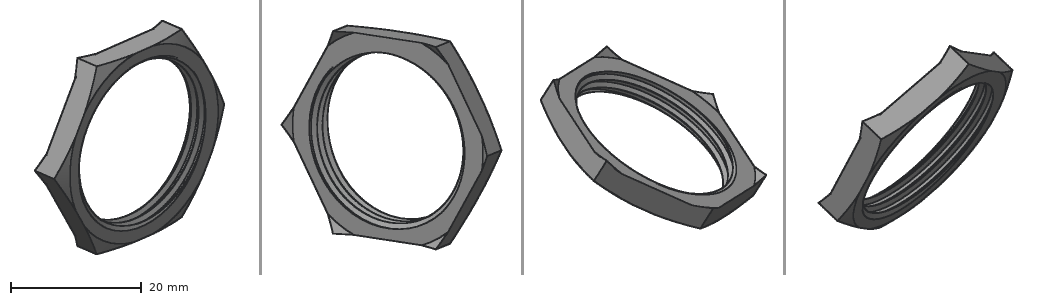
import cadquery as cq
import math

corner_diameter = 36.95
overall_thickness = 5.25

tooth_height = 1.05
tooth_root_radius = 17.1

rear_chamfer_depth = 1.05
rear_face_radius = 16.1

bore_radius = 13.38
thread_depth = 0.78
thread_pitch = 1.6
groove_mouth_width = 1.5
groove_root_width = 0.6
groove_start_angle = -66.0
bore_overlap = 0.05
bore_end_margin = 1.85
bore_seam_angle = 100.0

corner_radius = corner_diameter / 2


def hexagon_blank():
    """Hexagonal prism with two corners on the Y axis."""
    return cq.Workplane("YZ").polygon(6, corner_diameter).extrude(overall_thickness)


def turned_envelope():
    """Solid of revolution that limits the blank: hollow front cone and rear chamfer."""
    profile = [
        (tooth_height, 0),
        (tooth_height, tooth_root_radius),
        (0, corner_radius),
        (overall_thickness - rear_chamfer_depth, corner_radius),
        (overall_thickness, rear_face_radius),
        (overall_thickness, 0),
    ]
    return cq.Workplane("XY").polyline(profile).close().revolve(360, (0, 0, 0), (1, 0, 0))


def thread_cutter():
    """Trapezoidal right-hand helical groove running past both faces."""
    body_thickness = overall_thickness - tooth_height
    turns = math.ceil(body_thickness / thread_pitch) + 2
    helix = cq.Wire.makeHelix(thread_pitch, turns * thread_pitch, bore_radius)

    flank_slope = (groove_mouth_width - groove_root_width) / 2 / thread_depth
    half_mouth = groove_mouth_width / 2 + flank_slope * bore_overlap
    half_root = groove_root_width / 2
    inner_radius = bore_radius - bore_overlap
    outer_radius = bore_radius + thread_depth
    section = [
        (inner_radius, -half_mouth),
        (outer_radius, -half_root),
        (outer_radius, half_root),
        (inner_radius, half_mouth),
    ]
    groove = cq.Workplane("XZ").polyline(section).close().sweep(cq.Workplane(helix), isFrenet=True)

    groove = groove.rotate((0, 0, 0), (1, 1, 1), 120)
    groove = groove.rotate((0, 0, 0), (1, 0, 0), groove_start_angle)
    return groove.translate((tooth_height - thread_pitch, 0, 0))


def threaded_hole():
    """Cutter for the bore and thread, with the bore's seam turned away from the groove's start."""
    bore = cq.Workplane("YZ").circle(bore_radius).extrude(overall_thickness + 2 * bore_end_margin)
    bore = bore.translate((-bore_end_margin, 0, 0))
    bore = bore.rotate((0, 0, 0), (1, 0, 0), bore_seam_angle)
    return bore.union(thread_cutter())


result = hexagon_blank().intersect(turned_envelope()).cut(threaded_hole())